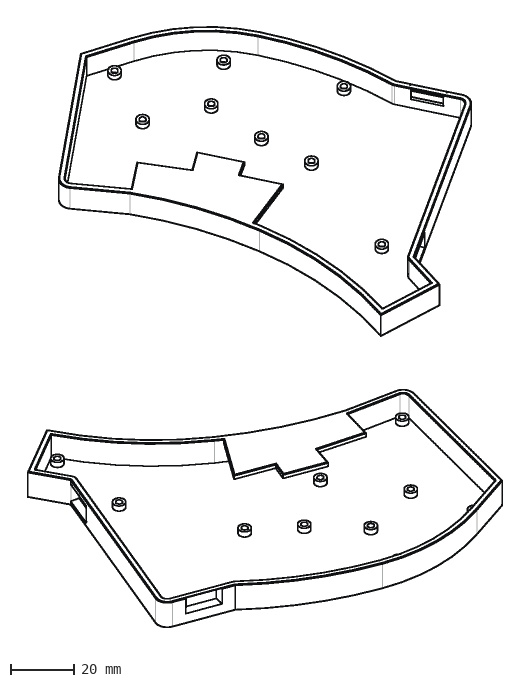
import cadquery as cq

height = 10.0
floor_thickness = 1.0
wall = 2.0
corner_radius = 4.0
rim_chamfer = 0.3

left_top = (0.0, 81.6)
left_bottom = (8.0, 25.2)
front_start = (30.9, 28.5)
foot_bottom = (121.0, 0.0)
foot_right = (135.4, 17.6)
right_wall_x = 124.5
foot_top_y = 26.7
back_wall_y = 97.2
right_top = (right_wall_x, back_wall_y)

back_rise_end = (13.5, 92.3)
back_crown = (51.9, 105.7)
back_wall_start = (98.8, back_wall_y)

front_right_mid = (98.8, 15.2)
front_joint = (74.5, 24.4)
front_left_mid = (52.8, 28.2)

standoff_diameter = 4.2
standoff_hole_diameter = 2.2
standoff_height = 2.0
covered_standoff = (48.3, 49.0)
standoff_centers = [
    (10.5, 83.5), (42.5, 97.1), (82.0, 96.5), (43.7, 78.1), (62.7, 69.0), (24.6, 66.0),
    (80.7, 63.2), (111.5, 35.0), (12.2, 30.9), (120.4, 6.6), covered_standoff,
]

cover_thickness = 1.6
cover_corners = [
    (29.5, 42.0), (47.1, 43.5), (46.6, 51.2), (62.1, 51.2), (62.1, 45.4), (76.5, 45.4),
    (71.9, 26.7), (67.7, 6.8), (32.5, 6.8), (30.9, 30.2),
]

back_opening_width = 10.4
back_opening_height = 4.0
back_opening_flare = 1.1
back_opening_center = (109.7, 6.9)
right_opening_width = 8.1
right_opening_height = 2.7
right_opening_flare = 2.0
right_opening_center = (32.8, 4.7)


def make_blank():
    """Solid block with the full outline and its two rounded corners."""
    block = (
        cq.Workplane("XY")
        .moveTo(*left_top)
        .lineTo(*back_rise_end)
        .tangentArcPoint(back_crown, relative=False)
        .tangentArcPoint(back_wall_start, relative=False)
        .lineTo(*right_top)
        .lineTo(right_wall_x, foot_top_y)
        .lineTo(*foot_right)
        .lineTo(*foot_bottom)
        .threePointArc(front_right_mid, front_joint)
        .threePointArc(front_left_mid, front_start)
        .lineTo(*left_bottom)
        .close()
        .extrude(height)
    )
    for x, y in (left_bottom, right_top):
        corner_edge = cq.selectors.NearestToPointSelector((x, y, height / 2))
        block = block.edges(corner_edge).fillet(corner_radius)
    return block


def make_tray(blank):
    """Block hollowed down to the floor, leaving an even wall."""
    cavity = (
        blank.faces(">Z").wires().toPending().workplane()
        .offset2D(-wall)
        .extrude(floor_thickness - height, combine=False)
    )
    return blank.cut(cavity)


def make_cover(blank):
    """Plate that overhangs the floor and joins the front wall, flush with the rim."""
    plate = (
        cq.Workplane("XY", origin=(0, 0, height - cover_thickness))
        .polyline(cover_corners)
        .close()
        .extrude(cover_thickness)
    )
    return plate.intersect(blank)


def make_standoffs():
    return (
        cq.Workplane("XY", origin=(0, 0, floor_thickness))
        .pushPoints(standoff_centers)
        .circle(standoff_diameter / 2)
        .circle(standoff_hole_diameter / 2)
        .extrude(standoff_height)
    )


def flared_cutter(inner_plane, width, opening_height, flare):
    """Cutter that widens by the flare on every side as it crosses the wall."""
    return (
        inner_plane.rect(width, opening_height)
        .workplane(offset=wall)
        .rect(width + 2 * flare, opening_height + 2 * flare)
        .loft(combine=False)
    )


def make_back_opening():
    x, z = back_opening_center
    plane = cq.Plane(origin=(x, back_wall_y - wall, z), xDir=(-1, 0, 0), normal=(0, 1, 0))
    return flared_cutter(
        cq.Workplane(plane), back_opening_width, back_opening_height, back_opening_flare
    )


def make_right_opening():
    y, z = right_opening_center
    plane = cq.Plane(origin=(right_wall_x - wall, y, z), xDir=(0, 1, 0), normal=(1, 0, 0))
    return flared_cutter(
        cq.Workplane(plane), right_opening_width, right_opening_height, right_opening_flare
    )


blank = make_blank()
result = (
    make_tray(blank)
    .union(make_cover(blank))
    .faces(">Z").edges().chamfer(rim_chamfer)
    .union(make_standoffs())
    .cut(make_back_opening())
    .cut(make_right_opening())
)